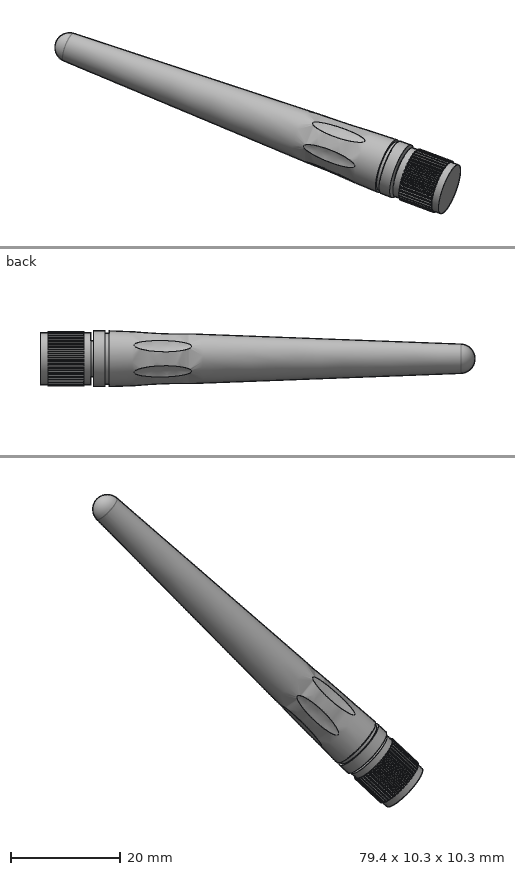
import cadquery as cq
import math

length = 79.4
max_diameter = 10.25
max_radius = max_diameter / 2

tip_length = 2.55
tip_radius = 2.7
body_end = 66.9

groove_radius = 4.7
collar_start = 67.6
collar_end = 69.7
neck_radius = 3.3

sleeve_start = 70.2
sleeve_radius = 4.8
knurl_start = 71.5
knurl_end = 78.1
knurl_radius = 5.0
knurl_count = 40
rib_root_share = 0.7
rib_crest_share = 0.3

dimple_count = 6
dimple_center = 56.95
dimple_length = 10.5
dimple_width = 2.4
dimple_depth = 0.4


def revolved_body():
    """Domed tip, tapered body, groove, collar and neck turned about X."""
    dome_radius = (tip_length**2 + tip_radius**2) / (2 * tip_length)
    dome_angle = math.atan2(tip_radius, dome_radius - tip_length) / 2
    dome_middle = (
        dome_radius * (1 - math.cos(dome_angle)),
        dome_radius * math.sin(dome_angle),
    )
    profile = (
        cq.Workplane("XZ")
        .moveTo(0, 0)
        .threePointArc(dome_middle, (tip_length, tip_radius))
        .lineTo(body_end, max_radius)
        .lineTo(body_end, groove_radius)
        .lineTo(collar_start, groove_radius)
        .lineTo(collar_start, max_radius)
        .lineTo(collar_end, max_radius)
        .lineTo(collar_end, neck_radius)
        .lineTo(sleeve_start, neck_radius)
        .lineTo(sleeve_start, 0)
        .close()
    )
    return profile.revolve(360, (0, 0, 0), (1, 0, 0))


def dimple_cutter():
    """Spindle lying along the +Z side of the taper; it scoops out one dimple."""
    taper = (max_radius - tip_radius) / (body_end - tip_length)
    surface_radius = tip_radius + taper * (dimple_center - tip_length)
    half_length = dimple_length / 2
    sag = surface_radius - math.sqrt(surface_radius**2 - (dimple_width / 2) ** 2)
    edge_depth = dimple_depth - sag
    scoop_radius = ((dimple_width / 2) ** 2 + edge_depth**2) / (2 * edge_depth)
    axis_height = scoop_radius - dimple_depth
    spindle = (
        cq.Workplane("XZ")
        .moveTo(-half_length, 0)
        .lineTo(-half_length, -axis_height)
        .threePointArc((0, -scoop_radius), (half_length, -axis_height))
        .lineTo(half_length, 0)
        .close()
        .revolve(360, (0, 0, 0), (1, 0, 0))
    )
    return spindle.rotate((0, 0, 0), (0, 1, 0), -math.degrees(math.atan(taper))).translate(
        (dimple_center, 0, surface_radius + axis_height)
    )


def knurl_outline():
    """Points of the knurled cross-section: straight-sided ribs with a valley at angle 0."""
    spacing = 2 * math.pi / knurl_count
    half_root = rib_root_share * spacing / 2
    half_crest = rib_crest_share * spacing / 2
    corners = (
        (-half_root, sleeve_radius),
        (-half_crest, knurl_radius),
        (half_crest, knurl_radius),
        (half_root, sleeve_radius),
    )
    points = []
    for index in range(knurl_count):
        rib_angle = (index + 0.5) * spacing
        for offset, radius in corners:
            angle = rib_angle + offset
            points.append((radius * math.cos(angle), radius * math.sin(angle)))
    return points


def knurled_sleeve():
    """Round connector sleeve with a band of longitudinal ribs around it."""
    sleeve = cq.Workplane("YZ").workplane(offset=sleeve_start).circle(sleeve_radius)
    band = cq.Workplane("YZ").workplane(offset=knurl_start).polyline(knurl_outline()).close()
    return sleeve.extrude(length - sleeve_start).union(band.extrude(knurl_end - knurl_start))


result = revolved_body().union(knurled_sleeve())
dimple = dimple_cutter()
for index in range(dimple_count):
    result = result.cut(dimple.rotate((0, 0, 0), (1, 0, 0), index * 360 / dimple_count))